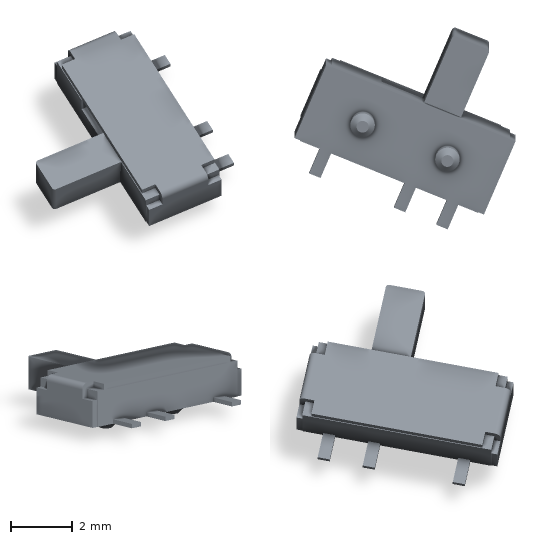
import cadquery as cq

housing_length = 6.7
housing_height = 1.4
cover_thickness = 0.2
cover_depth = 2.665
cover_bend_radius = 0.2
core_depth = 2.71
core_length = housing_length - 2 * cover_thickness
core_height = housing_height - cover_thickness

notch_length = 0.5
notch_depth = 0.49
notch_height = 0.5

contact_pitch = 1.5
terminal_positions = [-1.5 * contact_pitch, 0.5 * contact_pitch, 1.5 * contact_pitch]
terminal_width = 0.4
terminal_thickness = 0.15
terminal_length = 0.9
peg_positions = [-contact_pitch, contact_pitch]
peg_diameter = 0.8
peg_length = 0.5
peg_chamfer = 0.2

slider_width = 1.305
slider_center_x = 0.5 * contact_pitch
slider_reach = 2.49
slider_bottom = 0.1
slider_clearance = 0.04
slider_corner_radius = 0.1
slot_length = 2 * slider_center_x + slider_width
slot_height = 0.5
slot_depth = core_depth / 2
slot_floor = core_height - slot_height
core_front = -core_depth / 2


def block(x_size, y_size, z_size, x_center, y_min, z_min):
    """Box centered in X, with its front face at y_min and its base at z_min."""
    box = cq.Workplane("XY").box(x_size, y_size, z_size, centered=(True, False, False))
    return box.translate((x_center, y_min, z_min))


def make_core():
    return block(core_length, core_depth, core_height, 0, core_front, 0)


def make_cover():
    """Sheet over the top and both ends of the core, notched at its four top corners."""
    cover = block(housing_length, cover_depth, housing_height, 0, -cover_depth / 2, 0)
    cover = cover.edges("|Y and >Z").fillet(cover_bend_radius)
    cover = cover.cut(make_core())
    notch_x = (housing_length - notch_length) / 2
    notch_z = housing_height - notch_height
    for x in (-notch_x, notch_x):
        for y_min in (-cover_depth / 2, cover_depth / 2 - notch_depth):
            cover = cover.cut(block(notch_length, notch_depth, notch_height, x, y_min, notch_z))
    return cover


def make_peg(x):
    """Round locating peg under the housing, chamfered at its tip."""
    peg = cq.Workplane("XY").center(x, 0).circle(peg_diameter / 2).extrude(-peg_length)
    return peg.faces("<Z").chamfer(peg_chamfer)


def make_housing():
    slot = block(slot_length, slot_depth, slot_height, 0, core_front, slot_floor)
    housing = make_core().cut(slot).union(make_cover())
    for x in terminal_positions:
        housing = housing.union(
            block(terminal_width, terminal_length, terminal_thickness, x, core_depth / 2, 0)
        )
    for x in peg_positions:
        housing = housing.union(make_peg(x))
    return housing


def make_slider():
    """Tongue that fills the depth of the slot, with a taller handle in front of the housing."""
    handle_length = slider_reach - slider_clearance
    handle_height = core_height - slider_bottom
    handle = block(
        slider_width, handle_length, handle_height, slider_center_x, core_front - slider_reach, slider_bottom
    )
    handle = handle.edges("|Z and <Y").fillet(slider_corner_radius)
    tongue_length = slot_depth + slider_clearance
    tongue = block(
        slider_width, tongue_length, slot_height, slider_center_x, core_front - slider_clearance, slot_floor
    )
    return handle.union(tongue)


housing = make_housing()
slider = make_slider()
result = cq.Compound.makeCompound([housing.solids().val(), slider.solids().val()])